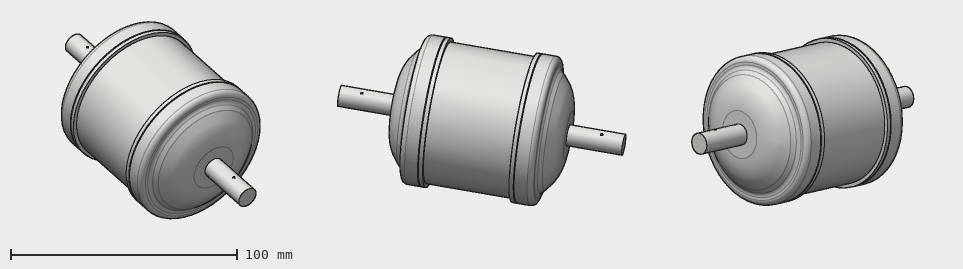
import cadquery as cq
import math

total_length = 128.0
outer_diameter = 67.0
body_radius = 31.7
shaft_radius = 4.7

cap_start = 19.5
band_width = 1.9
groove_width = 0.4
groove_depth = 0.06
corner_round = 2.5
foot_round = 3.0
face_width = 1.3
dome_end = 39.0
dome_flat_radius = 10.8
dome_round = 21.2
dome_slope = math.radians(45)

pin_hole_diameter = 1.0
pin_hole_inset = 10.0

outer_radius = outer_diameter / 2
groove_radius = outer_radius - groove_depth
band_end = cap_start + band_width
groove_end = band_end + groove_width
face_outer_radius = outer_radius - corner_round
face_inner_radius = face_outer_radius - face_width
foot_radius = face_inner_radius - foot_round * math.sin(dome_slope)
dome_edge_radius = dome_flat_radius + dome_round * math.sin(dome_slope)
dome_edge_x = dome_end - dome_round * (1 - math.cos(dome_slope))
foot_x = dome_edge_x - (foot_radius - dome_edge_radius) / math.tan(dome_slope)
face_x = foot_x - foot_round * (1 - math.cos(dome_slope))


def arc_point(center_x, center_radius, radius, angle):
    """Point on a profile arc, with the angle measured from the X axis."""
    return (center_x + radius * math.cos(angle), center_radius + radius * math.sin(angle))


def make_body():
    """Plain cylinder between the two caps."""
    return cq.Workplane("YZ").circle(body_radius).extrude(cap_start, both=True)


def make_end():
    """Revolve the +X end: banded and domed cap with its shaft."""
    corner_middle = arc_point(face_x - corner_round, face_outer_radius, corner_round, math.pi / 4)
    foot_middle = arc_point(face_x + foot_round, face_inner_radius, foot_round, math.pi + dome_slope / 2)
    dome_middle = arc_point(dome_end - dome_round, dome_flat_radius, dome_round, dome_slope / 2)
    profile = (
        cq.Workplane("XY")
        .moveTo(cap_start, 0)
        .lineTo(cap_start, outer_radius)
        .lineTo(band_end, outer_radius)
        .lineTo(band_end, groove_radius)
        .lineTo(groove_end, groove_radius)
        .lineTo(groove_end, outer_radius)
        .lineTo(face_x - corner_round, outer_radius)
        .threePointArc(corner_middle, (face_x, face_outer_radius))
        .lineTo(face_x, face_inner_radius)
        .threePointArc(foot_middle, (foot_x, foot_radius))
        .lineTo(dome_edge_x, dome_edge_radius)
        .threePointArc(dome_middle, (dome_end, dome_flat_radius))
        .lineTo(dome_end, shaft_radius)
        .lineTo(total_length / 2, shaft_radius)
        .lineTo(total_length / 2, 0)
        .close()
    )
    return profile.revolve(360, (0, 0, 0), (1, 0, 0))


def make_pin_holes():
    """Cutters from the axis upward near both shaft ends."""
    hole_x = total_length / 2 - pin_hole_inset
    return (
        cq.Workplane("XY")
        .pushPoints([(-hole_x, 0), (hole_x, 0)])
        .circle(pin_hole_diameter / 2)
        .extrude(2 * shaft_radius)
    )


end = make_end()
result = make_body().union(end).union(end.mirror("YZ")).clean().cut(make_pin_holes())